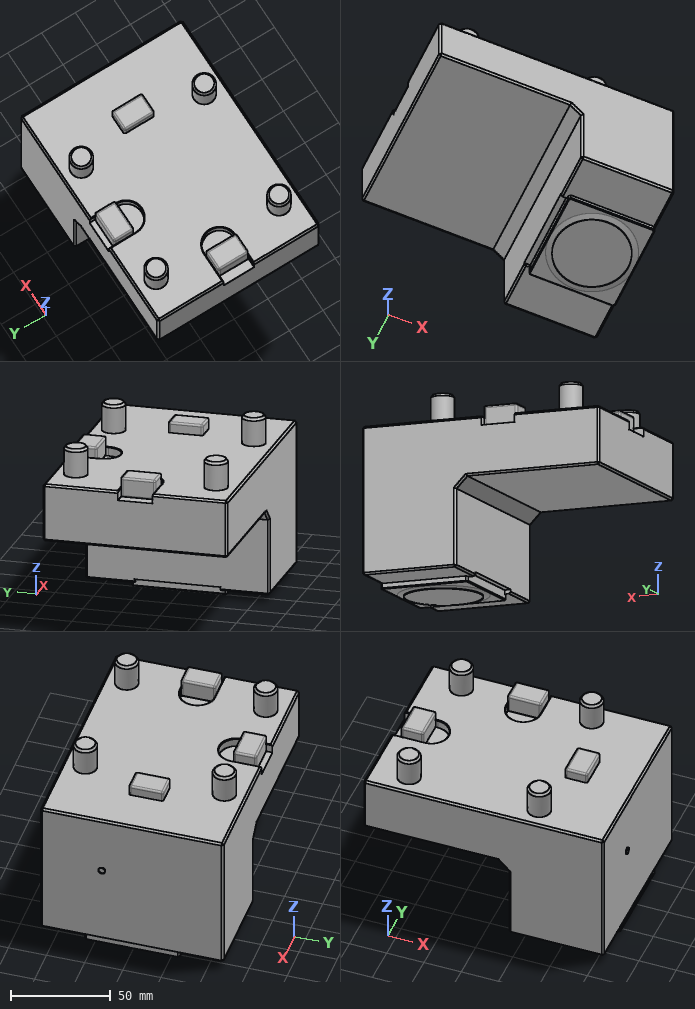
import cadquery as cq


body_length = 129.0
body_width = 96.0
body_top = 80.0
arm_thickness = 30.0
leg_length = 51.0
leg_bottom = 4.0
corner_bevel = 6.0
edge_chamfer = 1.0

pin_diameter = 12.0
pin_top = 95.0
pin_tip_length = 1.4
pin_tip_inset = 1.0
pin_x_positions = (20.1, 90.0)
pin_y_spacing = 72.9

key_long = 18.0
key_short = 12.0
key_rise = 5.7
key_fillet = 1.0
pocket_depth = 4.8
pocket_width = key_long
pocket_rim_chamfer = 0.4
side_pocket_reach = 27.1
back_pocket_reach = 25.0
side_key_setback = 5.0
back_key_setback = 3.0
back_key_x = 55.0
far_key_x = 99.1

plate_length = 47.4
plate_width = 50.0
plate_center_x = 105.0
plate_bottom = 1.2
plate_chamfer = 1.0
plate_bottom_chamfer = 0.5
notch_width = 45.0
notch_height = 2.1
lens_base_diameter = 46.6
lens_face_diameter = 40.0
lens_face_height = 0.4

stud_diameter = 3.5
stud_height = 0.5
stud_y = -15.7
stud_z = 48.2


def make_body():
    """L profile extruded across Y, with every outer edge chamfered."""
    arm_bottom = body_top - arm_thickness
    leg_x = body_length - leg_length
    profile = [
        (0, body_top),
        (body_length, body_top),
        (body_length, leg_bottom),
        (leg_x, leg_bottom),
        (leg_x, arm_bottom - corner_bevel),
        (leg_x - corner_bevel, arm_bottom),
        (0, arm_bottom),
    ]
    body = cq.Workplane("XZ").polyline(profile).close().extrude(body_width / 2, both=True)

    margin = edge_chamfer
    inner_corner = cq.selectors.BoxSelector(
        (leg_x - corner_bevel - margin, -margin, arm_bottom - corner_bevel - margin),
        (leg_x + margin, margin, arm_bottom + margin),
    )
    outer_edges = cq.selectors.SubtractSelector(cq.selectors.StringSyntaxSelector("|Y"), inner_corner)
    face_rims = cq.selectors.StringSyntaxSelector("#Y")
    return body.edges(cq.selectors.SumSelector(outer_edges, face_rims)).chamfer(edge_chamfer)


def slot_outline(radius, center_x):
    """Round-ended outline along +X that starts one radius outside the body face."""
    return (
        cq.Workplane("XY", origin=(0, 0, body_top))
        .moveTo(-radius, -radius)
        .lineTo(center_x, -radius)
        .threePointArc((center_x + radius, 0), (center_x, radius))
        .lineTo(-radius, radius)
        .close()
    )


def make_pocket(reach):
    """Cutter for a pocket open at the -X face, with a 45 degree rim chamfer."""
    radius = pocket_width / 2
    center_x = reach - radius
    well = slot_outline(radius, center_x).extrude(-pocket_depth)
    rim = slot_outline(radius + pocket_rim_chamfer, center_x).extrude(-pocket_rim_chamfer, taper=45)
    return well.union(rim)


def make_key():
    """Rounded key block, long side along Y, with its base at pocket floor level."""
    height = pocket_depth + key_rise
    key = cq.Workplane("XY").box(key_short, key_long, height, centered=(True, True, False))
    return key.edges().fillet(key_fillet).translate((0, 0, body_top - pocket_depth))


def make_pin():
    """Pin with a beveled tip, standing on the top face."""
    radius = pin_diameter / 2
    profile = [
        (0, body_top),
        (radius, body_top),
        (radius, pin_top - pin_tip_length),
        (radius - pin_tip_inset, pin_top),
        (0, pin_top),
    ]
    return cq.Workplane("XZ").polyline(profile).close().revolve(360, (0, 0, 0), (0, 1, 0))


def make_plate():
    """Chamfered plate under the leg with a shallow conical lens below it, ending in a thin disc."""
    height = leg_bottom + notch_height - plate_bottom
    plate = (
        cq.Workplane("XY")
        .box(plate_length, plate_width, height, centered=(True, True, False))
        .edges("|Z")
        .chamfer(plate_chamfer)
        .faces("<Z")
        .edges()
        .chamfer(plate_bottom_chamfer)
        .translate((0, 0, plate_bottom))
    )
    base_radius = lens_base_diameter / 2
    face_radius = lens_face_diameter / 2
    lens_profile = [
        (0, 0),
        (face_radius, 0),
        (face_radius, lens_face_height),
        (base_radius, plate_bottom),
        (0, plate_bottom),
    ]
    lens = cq.Workplane("XZ").polyline(lens_profile).close().revolve(360, (0, 0, 0), (0, 1, 0))
    return plate.union(lens).translate((plate_center_x, 0, 0))


def make_notch():
    """Cutter for the notch in the leg bottom, from the leg's -X face to the plate."""
    leg_x = body_length - leg_length
    length = plate_center_x - plate_length / 2 - leg_x
    notch = cq.Workplane("XY").box(length, notch_width, notch_height, centered=(False, True, False))
    return notch.translate((leg_x, 0, leg_bottom))


def make_stud():
    """Small round stud on the +X face."""
    stud = cq.Workplane("YZ").circle(stud_diameter / 2).extrude(stud_height)
    return stud.translate((body_length, stud_y, stud_z))


def turn_to_back(shape):
    """Turn a shape built from the -X face so that it runs in from the +Y face."""
    turned = shape.rotate((0, 0, 0), (0, 0, 1), -90)
    return turned.translate((back_key_x, body_width / 2, 0))


result = make_body()

result = result.cut(make_pocket(side_pocket_reach))
result = result.cut(turn_to_back(make_pocket(back_pocket_reach)))
result = result.cut(make_notch())

key_block = make_key()
result = result.union(key_block.translate((side_key_setback + key_short / 2, 0, 0)))
result = result.union(turn_to_back(key_block.translate((back_key_setback + key_short / 2, 0, 0))))
result = result.union(key_block.translate((far_key_x, 0, 0)))

for pin_x in pin_x_positions:
    for pin_y in (-pin_y_spacing / 2, pin_y_spacing / 2):
        result = result.union(make_pin().translate((pin_x, pin_y, 0)))

result = result.union(make_plate())
result = result.union(make_stud())